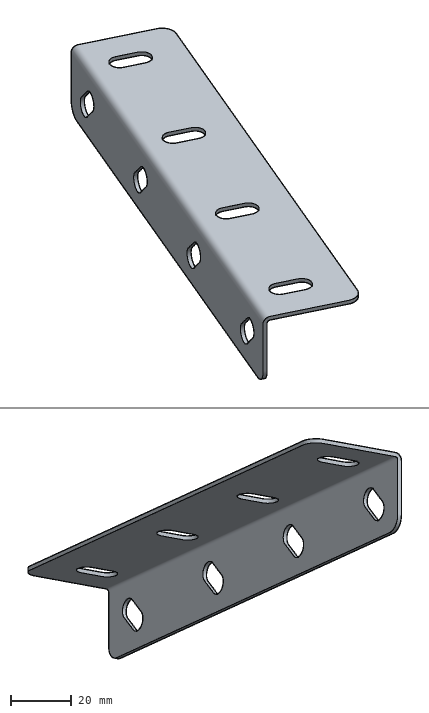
import cadquery as cq

length = 180.0
depth = 35.5
height = 26.5
thickness = 1.5
bend_radius = 2.5
corner_radius = 5.0

slot_count = 4
slot_pitch = 50.0
slot_length = 15.0
slot_width = 7.0
top_slot_y = 15.5
side_slot_z = -14.0
side_slot_angle = 45

slot_positions = [((i - (slot_count - 1) / 2) * slot_pitch, 0) for i in range(slot_count)]


def angle_body():
    """L-shaped sheet with its bend running along X, centred on X = 0."""
    profile = (
        cq.Workplane("YZ", origin=(-length / 2, 0, 0))
        .polyline([
            (0, 0),
            (depth, 0),
            (depth, -thickness),
            (thickness, -thickness),
            (thickness, -height),
            (0, -height),
        ])
        .close()
    )
    body = profile.extrude(length)
    body = body.edges("|X and <Y and >Z").fillet(bend_radius)
    inner_bend = cq.selectors.NearestToPointSelector((0, thickness, -thickness))
    return body.edges("|X").edges(inner_bend).fillet(bend_radius - thickness)


def round_free_corners(body):
    """Round the two free corners of each flange."""
    body = body.edges("|Z and >Y").fillet(corner_radius)
    return body.faces("<Z").edges("|Y").fillet(corner_radius)


def slot_row(plane, angle):
    """Row of slot cutters reaching through one flange from its outer face."""
    return plane.pushPoints(slot_positions).slot2D(slot_length, slot_width, angle).extrude(-thickness)


top_slots = slot_row(cq.Workplane("XY", origin=(0, top_slot_y, 0)), 90)
side_slots = slot_row(cq.Workplane("XZ", origin=(0, 0, side_slot_z)), side_slot_angle)

result = round_free_corners(angle_body()).cut(top_slots).cut(side_slots)